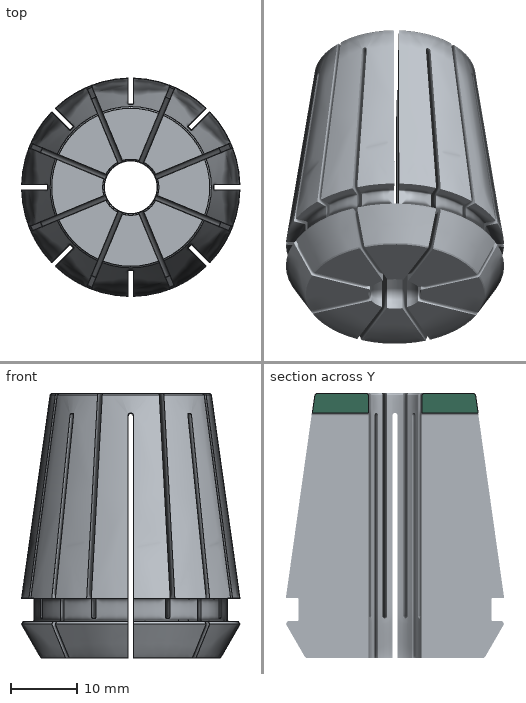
import cadquery as cq
import math

LENGTH = 40.0
BODY_DIAMETER = 33.0
BORE_DIAMETER = 8.0
BODY_RADIUS = BODY_DIAMETER / 2
BORE_RADIUS = BORE_DIAMETER / 2

TAPER_ANGLE = 8.0
TAPER_BOTTOM = 9.05

NECK_RADIUS = 14.6
NECK_FILLET = 0.2

COLLAR_ANGLE = 30.0
COLLAR_TOP = 5.55
RIM_BEVEL_HEIGHT = 0.45
RIM_BEVEL_WIDTH = 0.3

EDGE_CHAMFER = 0.25
BASE_CHAMFER = 0.15

SLOTS_PER_SET = 8
SLOT_WIDTH = 0.75
UPPER_SLOT_BOTTOM = 5.95
LOWER_SLOT_TOP = 37.0


def make_body():
    """Revolve the half section of the unslotted collet about Z."""
    taper_slope = math.tan(math.radians(TAPER_ANGLE))
    taper_top = LENGTH - EDGE_CHAMFER
    taper_top_radius = BODY_RADIUS - (taper_top - TAPER_BOTTOM) * taper_slope
    collar_slope = math.tan(math.radians(COLLAR_ANGLE))
    rim_height = COLLAR_TOP - RIM_BEVEL_HEIGHT
    collar_base_radius = BODY_RADIUS - (rim_height - BASE_CHAMFER) * collar_slope
    bend = NECK_FILLET * (1 - math.sqrt(0.5))

    return (
        cq.Workplane("XZ")
        .moveTo(BORE_RADIUS, 0)
        .lineTo(collar_base_radius - BASE_CHAMFER, 0)
        .lineTo(collar_base_radius, BASE_CHAMFER)
        .lineTo(BODY_RADIUS, rim_height)
        .lineTo(BODY_RADIUS - RIM_BEVEL_WIDTH, COLLAR_TOP)
        .lineTo(NECK_RADIUS + NECK_FILLET, COLLAR_TOP)
        .threePointArc((NECK_RADIUS + bend, COLLAR_TOP + bend), (NECK_RADIUS, COLLAR_TOP + NECK_FILLET))
        .lineTo(NECK_RADIUS, TAPER_BOTTOM - NECK_FILLET)
        .threePointArc((NECK_RADIUS + bend, TAPER_BOTTOM - bend), (NECK_RADIUS + NECK_FILLET, TAPER_BOTTOM))
        .lineTo(BODY_RADIUS, TAPER_BOTTOM)
        .lineTo(taper_top_radius, taper_top)
        .lineTo(taper_top_radius - EDGE_CHAMFER, LENGTH)
        .lineTo(BORE_RADIUS + EDGE_CHAMFER, LENGTH)
        .lineTo(BORE_RADIUS, taper_top)
        .close()
        .revolve(360, (0, 0, 0), (0, 1, 0))
    )


def make_slot(open_end, round_end):
    """Slot lying along +X from the axis, open at one height and full round at the other."""
    half_width = SLOT_WIDTH / 2
    direction = 1 if round_end > open_end else -1
    arc_start = round_end - direction * half_width
    return (
        cq.Workplane("YZ")
        .moveTo(-half_width, open_end)
        .lineTo(-half_width, arc_start)
        .threePointArc((0, round_end), (half_width, arc_start))
        .lineTo(half_width, open_end)
        .close()
        .extrude(BODY_RADIUS + SLOT_WIDTH)
    )


def cut_slot_set(body, slot, first_angle):
    """Cut a ring of evenly spaced copies of the slot."""
    for index in range(SLOTS_PER_SET):
        angle = first_angle + index * 360 / SLOTS_PER_SET
        body = body.cut(slot.rotate((0, 0, 0), (0, 0, 1), angle))
    return body


lower_slot = make_slot(0, LOWER_SLOT_TOP)
upper_slot = make_slot(LENGTH, UPPER_SLOT_BOTTOM)

result = make_body()
result = cut_slot_set(result, lower_slot, 0)
result = cut_slot_set(result, upper_slot, 180 / SLOTS_PER_SET)